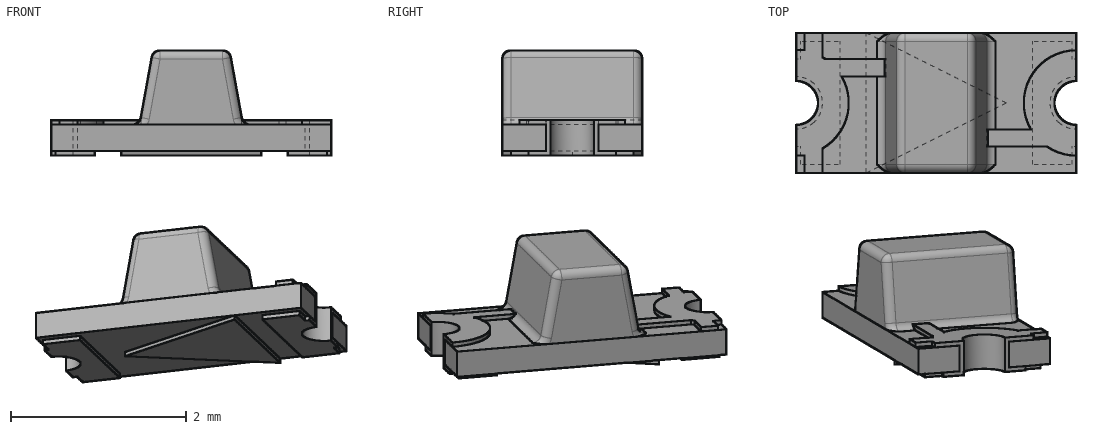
import cadquery as cq

length = 3.2
width = length / 2
height = 1.2
board_thickness = 0.3

copper = 0.05
bore_radius = 0.25
barrel_radius = bore_radius + copper
top_pad_radius = 0.6
bar_length = 0.3
corner_notch_length = 0.1
corner_notch_width = 0.2
trace_inner_y = 0.3
trace_outer_y = 0.5
trace_end_x = 0.575
bottom_pad_length = 0.5
bottom_pad_width = 1.4
bottom_tab_width = 1.0
bottom_tab_length = 0.05

lens_base_width = 1.185
lens_top_width = 0.877
lens_round = 0.1

mark_length = width

board_bottom = copper
board_top = board_bottom + board_thickness
copper_top = board_top + copper
end_x = length / 2


def slab(x_min, x_max, y_min, y_max, z_min, z_max):
    """Box given by its limits along each axis."""
    box = cq.Workplane("XY").box(x_max - x_min, y_max - y_min, z_max - z_min, centered=False)
    return box.translate((x_min, y_min, z_min))


def end_cylinder(side, radius, z_min, z_max):
    """Upright cylinder centred on the middle of one short end; side is -1 or 1."""
    plane = cq.Workplane("XY", origin=(side * end_x, 0, z_min))
    return plane.circle(radius).extrude(z_max - z_min)


def board_blank(z_min, z_max):
    """Full rectangle of the board between two heights."""
    return slab(-end_x, end_x, -width / 2, width / 2, z_min, z_max)


def make_board():
    """Board plate with a notch for a plated barrel in each end."""
    board = board_blank(board_bottom, board_top)
    for side in (-1, 1):
        board = board.cut(end_cylinder(side, barrel_radius, board_bottom, board_top))
    return board


def make_plain_terminal():
    """Terminal at the -X end: round top pad with a trace, barrel and bottom pad."""
    top_pad = end_cylinder(-1, top_pad_radius, board_top, copper_top)
    trace = slab(-end_x, -trace_end_x, trace_inner_y, trace_outer_y, board_top, copper_top)
    barrel = end_cylinder(-1, barrel_radius, 0, copper_top)
    bottom_pad = slab(
        -end_x + bottom_tab_length, -end_x + bottom_pad_length,
        -bottom_pad_width / 2, bottom_pad_width / 2, 0, board_bottom,
    )
    bottom_tab = slab(
        -end_x, -end_x + bottom_pad_length,
        -bottom_tab_width / 2, bottom_tab_width / 2, 0, board_bottom,
    )
    terminal = top_pad.union(trace).union(barrel).union(bottom_pad).union(bottom_tab)
    terminal = terminal.intersect(board_blank(0, copper_top))
    return terminal.cut(end_cylinder(-1, bore_radius, 0, copper_top))


def make_barred_terminal():
    """Plain terminal with a full-width bar on its top pad, notched at both board corners."""
    bar = slab(-end_x, -end_x + bar_length, -width / 2, width / 2, board_top, copper_top)
    for notch_y in (-width / 2, width / 2 - corner_notch_width):
        notch = slab(
            -end_x, -end_x + corner_notch_length,
            notch_y, notch_y + corner_notch_width, board_top, copper_top,
        )
        bar = bar.cut(notch)
    bar = bar.cut(end_cylinder(-1, bore_radius, board_top, copper_top))
    return make_plain_terminal().union(bar)


def make_lens(traces):
    """Tapered block with a flared foot and rounded edges, recessed around the traces."""
    stepped_block = (
        cq.Workplane("XZ", origin=(0, width / 2, 0))
        .moveTo(-end_x, 0)
        .lineTo(-end_x, board_top)
        .lineTo(-lens_base_width / 2, board_top)
        .lineTo(-lens_top_width / 2, height)
        .lineTo(lens_top_width / 2, height)
        .lineTo(lens_base_width / 2, board_top)
        .lineTo(end_x, board_top)
        .lineTo(end_x, 0)
        .close()
        .extrude(width)
    )
    foot_edges = cq.selectors.BoxSelector(
        (-lens_base_width, -width, board_top - lens_round),
        (lens_base_width, width, board_top + lens_round),
    )
    flared_block = stepped_block.edges("|Y").edges(foot_edges).fillet(lens_round)
    side_edges = flared_block.faces("<Y or >Y").edges("not(|Z or <Z)")
    top_edges = flared_block.faces(">Z").edges("|Y")
    rounded_block = side_edges.add(top_edges).fillet(lens_round)
    lens = rounded_block.intersect(board_blank(board_top, height))
    for trace in traces:
        lens = lens.cut(trace)
    return lens


def make_direction_mark():
    """Triangle spanning the board's full width at its blunt end."""
    back_x = -mark_length / 2
    corners = [(back_x, -width / 2), (mark_length / 2, 0), (back_x, width / 2)]
    return cq.Workplane("XY").polyline(corners).close().extrude(copper)


board = make_board()
barred_terminal = make_barred_terminal()
plain_terminal = make_plain_terminal().rotate((0, 0, 0), (0, 0, 1), 180)
lens = make_lens([barred_terminal, plain_terminal])
direction_mark = make_direction_mark()

result = cq.Compound.makeCompound([
    board.solids().val(),
    barred_terminal.solids().val(),
    plain_terminal.solids().val(),
    lens.solids().val(),
    direction_mark.solids().val(),
])